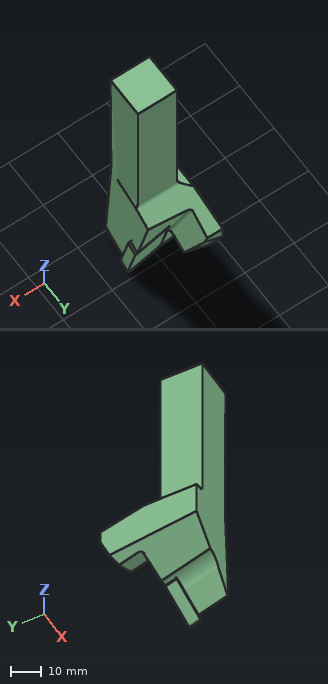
import cadquery as cq
import math

TOTAL_HEIGHT = 101.4
HEAD_DEPTH = 36.7
REACH = 60.8

SHANK_SIDE = 16.0
SHANK_LEFT = 4.1
SHANK_FILLET = 1.5

HEAD_WIDTH = 26.4
HEAD_BOTTOM = -5.1
SHOULDER_Z = 40.4
LEFT_SHOULDER_Z = 39.3
BACK_SHOULDER_Z = 34.8

ARM_END_POINT = (0, HEAD_DEPTH, 29.7)
ARM_END_NORMAL = (0.2, 1, -0.44)

rake = cq.Plane(origin=(22.3, 15.9, 0), xDir=(1, -0.085, 0), normal=(-0.085, -1, 0.22))

FLANK_TIP = (1.1, 0.9)
RIGHT_FLANK_TOP = (-1.2, 39.1)
RIGHT_CLEAR_TOP = (-0.8, 111.5)
FLANK_NOSE_RADIUS = 0.5
GROOVE_LOW = (-5.8, 9.2)
GROOVE_MIDDLE = (-7.8, 11.8)
GROOVE_HIGH = (-11.4, 13.2)
LEFT_FLANK_END = (-32.0, 32.4)

ARM_CORNER = (-11.1, 26.9)
ARM_TILT = 30.0
ARM_ROOT_FILLET = 1.2

INSERT_CORNER = (2.1, -1.7)
INSERT_SIDE = 18.0
INSERT_RIGHT_ANGLE = 94.0
INSERT_NOSE_ANGLE = 35.0
INSERT_NOSE_RADIUS = 0.82
INSERT_THICKNESS = 4.8


def fillet_nearest(body, point, radius):
    """Round the one edge whose middle lies nearest to a point."""
    return body.edges(cq.selectors.NearestToPointSelector(point)).fillet(radius)


def make_blank():
    """Shank and untrimmed head: a side profile crossed with a front profile.

    The two profiles carry the fillets at the foot of the shank, which meet in mitred corners.
    """
    shank_right = SHANK_LEFT + SHANK_SIDE
    side = (
        cq.Workplane("YZ")
        .polyline([
            (0, HEAD_BOTTOM),
            (HEAD_DEPTH, HEAD_BOTTOM),
            (HEAD_DEPTH, BACK_SHOULDER_Z),
            (SHANK_SIDE, SHOULDER_Z),
            (SHANK_SIDE, TOTAL_HEIGHT),
            (0, TOTAL_HEIGHT),
        ])
        .close()
        .extrude(HEAD_WIDTH)
    )
    front = (
        cq.Workplane("XZ")
        .polyline([
            (0, HEAD_BOTTOM),
            (HEAD_WIDTH, HEAD_BOTTOM),
            (HEAD_WIDTH, SHOULDER_Z),
            (shank_right, SHOULDER_Z),
            (shank_right, TOTAL_HEIGHT),
            (SHANK_LEFT, TOTAL_HEIGHT),
            (SHANK_LEFT, SHOULDER_Z),
            (0, LEFT_SHOULDER_Z),
        ])
        .close()
        .extrude(-HEAD_DEPTH)
    )
    side = fillet_nearest(side, (HEAD_WIDTH / 2, SHANK_SIDE, SHOULDER_Z), SHANK_FILLET)
    for x in (SHANK_LEFT, shank_right):
        front = fillet_nearest(front, (x, HEAD_DEPTH / 2, SHOULDER_Z), SHANK_FILLET)
    return side.intersect(front)


def make_flank_prism():
    """Everything inside the right flank, the lower flank and the relief groove."""
    far_left = -REACH
    prism = (
        cq.Workplane(rake).workplane(offset=-REACH)
        .moveTo(*FLANK_TIP)
        .lineTo(*RIGHT_FLANK_TOP)
        .lineTo(*RIGHT_CLEAR_TOP)
        .lineTo(far_left, RIGHT_CLEAR_TOP[1])
        .lineTo(far_left, LEFT_FLANK_END[1])
        .lineTo(*LEFT_FLANK_END)
        .lineTo(*GROOVE_HIGH)
        .threePointArc(GROOVE_MIDDLE, GROOVE_LOW)
        .close()
        .extrude(2 * REACH)
    )
    return fillet_nearest(prism, rake.toWorldCoords(FLANK_TIP).toTuple(), FLANK_NOSE_RADIUS)


def make_arm_clearance():
    """Two tools that clear the space behind the rake plane, beside the arm and below it."""
    corner = cq.Workplane(rake).center(*ARM_CORNER).transformed(rotate=(0, 0, ARM_TILT))
    beside = corner.rect(REACH, REACH).extrude(-REACH).translate(corner.plane.xDir * (REACH / 2))
    below = corner.rect(REACH, REACH).extrude(-REACH).translate(corner.plane.yDir * (-REACH / 2))
    root = corner.plane.origin.toTuple()
    return [fillet_nearest(tool, root, ARM_ROOT_FILLET) for tool in (beside, below)]


def make_arm_end_cut():
    """Space beyond the oblique end of the arm."""
    end = cq.Plane(origin=ARM_END_POINT, normal=ARM_END_NORMAL)
    return cq.Workplane(end).rect(2 * REACH, 2 * REACH).extrude(REACH)


def edge_vector(angle):
    """Insert edge that points along an angle in the rake plane."""
    radians = math.radians(angle)
    return cq.Vector(math.cos(radians), math.sin(radians)) * INSERT_SIDE


def make_insert():
    """Rhombic cutting insert, flush with the rake plane."""
    right_edge = edge_vector(INSERT_RIGHT_ANGLE)
    left_edge = edge_vector(INSERT_RIGHT_ANGLE + INSERT_NOSE_ANGLE)
    corner = cq.Vector(*INSERT_CORNER)
    outline = [corner, corner + right_edge, corner + right_edge + left_edge, corner + left_edge]
    insert = (
        cq.Workplane(rake)
        .polyline([(point.x, point.y) for point in outline])
        .close()
        .extrude(INSERT_THICKNESS)
    )
    nose = rake.toWorldCoords((*INSERT_CORNER, INSERT_THICKNESS / 2)).toTuple()
    return fillet_nearest(insert, nose, INSERT_NOSE_RADIUS)


def make_holder(insert):
    """Tool holder: trimmed blank with its arm and a seat that matches the insert."""
    holder = make_blank().intersect(make_flank_prism())
    for clearance in make_arm_clearance():
        holder = holder.cut(clearance)
    return holder.cut(make_arm_end_cut()).cut(insert)


insert = make_insert()
holder = make_holder(insert)
result = cq.Compound.makeCompound([holder.solids().val(), insert.val()])